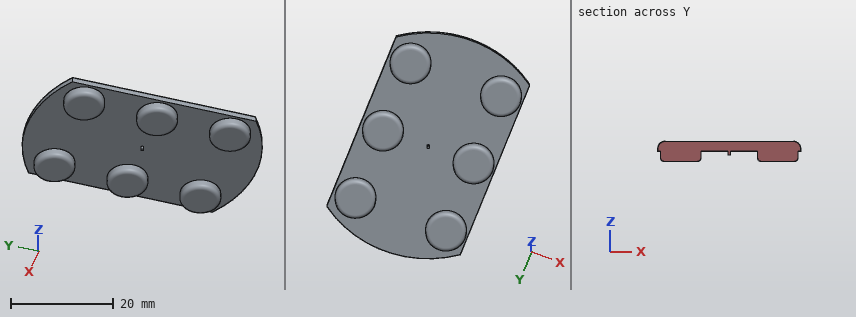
import cadquery as cq

plate_length = 47.0
plate_width = 28.0
plate_thickness = 2.0
plate_edge_radius = 1.5

foot_diameter = 8.0
foot_height = 1.97
foot_edge_radius = 0.8
foot_columns = 2
foot_rows = 3
foot_column_spacing = 19.0
foot_row_spacing = 15.0

pin_diameter = 0.5
pin_height = 0.7



def make_plate():
    disc = cq.Workplane("XY").circle(plate_length / 2).extrude(plate_thickness)
    trim = cq.Workplane("XY").rect(plate_width, plate_length).extrude(plate_thickness)
    return disc.intersect(trim).faces(">Z").edges().fillet(plate_edge_radius)


def make_feet():
    return (
        cq.Workplane("XY")
        .rarray(foot_column_spacing, foot_row_spacing, foot_columns, foot_rows)
        .circle(foot_diameter / 2)
        .extrude(-foot_height)
        .faces("<Z")
        .edges()
        .fillet(foot_edge_radius)
    )


def make_pin():
    return cq.Workplane("XY").circle(pin_diameter / 2).extrude(-pin_height)


result = make_plate().union(make_feet()).union(make_pin())